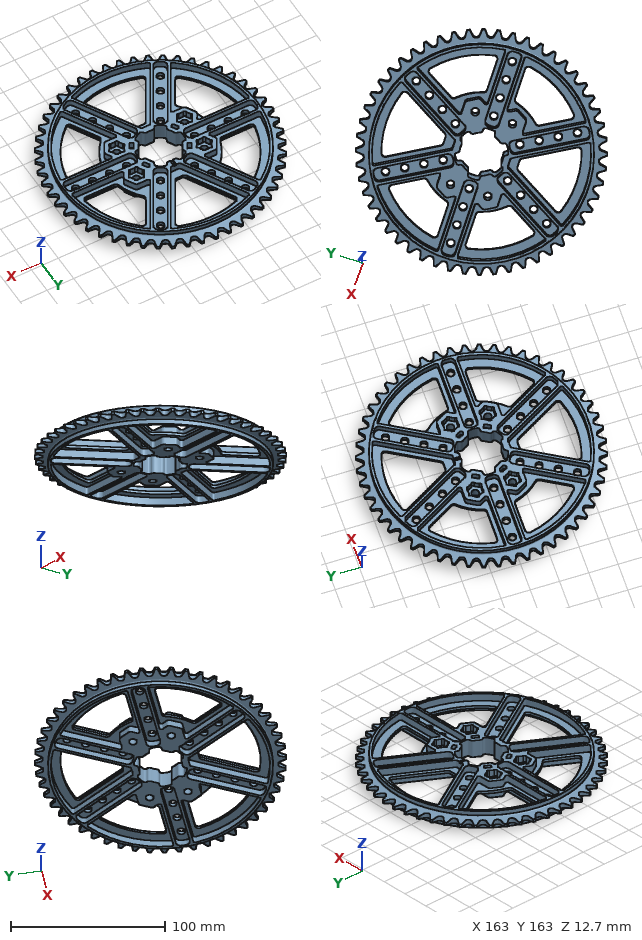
import cadquery as cq
import math

overall_width = 163.0
overall_height = 12.7

tooth_count = 52
roller_diameter = 5.0
roller_radius = roller_diameter / 2
seat_center_radius = 78.9
tip_width = 1.8
tip_thickness = 2.1
flange_root_thickness = 4.5
flange_fillet_radius = 1.0

gap_angle = math.radians(180 / tooth_count) - math.asin(tip_width / overall_width)
tip_radius = overall_width / 2 / math.cos(gap_angle)

rim_radius = 73.0
wall_thickness = 2.0
pocket_radius = rim_radius - wall_thickness
channel_width = 9.3
rib_offset = channel_width / 2 + wall_thickness
web_ledge = 3.0
web_thickness = 2.0
pocket_depth = (overall_height - web_thickness) / 2
pocket_corner = 1.3
spoke_step = 60

channel_start = 18.7
channel_end = 71.4
channel_corner = 3.3
channel_floor = 3.0
channel_depth = (overall_height - channel_floor) / 2
hole_pitch = 12.7
hole_diameter = 5.0
holes_per_spoke = 4
first_hole_radius = 2 * hole_pitch

window_radius = 64.9
window_corner = 2.5
plain_window_start = 25.3
boss_window_start = 39.8

hub_flat = 18.9
bore_radius = 14.3
groove_radius = 17.5
groove_width = 8.2
groove_corner = 1.6
bore_tooth_corner = 2.1

boss_x = 2 * hole_pitch
boss_y = hole_pitch
boss_across_flats = 16.3
boss_corner = 2.3
nut_across_flats = 9.6
nut_relief_radius = 1.0
nut_relief_inset = 0.8

recess_depth = 4.9

key_center_radius = 18.7
key_length = 4.9
key_width = 2.8
key_corner = 0.8
notch_width = 1.6
notch_depth = 0.8

top = overall_height / 2
bottom = -overall_height / 2

match_tolerance = 0.02


def polar(radius, degrees):
    angle = math.radians(degrees)
    return radius * math.cos(angle), radius * math.sin(angle)


def disc(radius, base=bottom, height=overall_height):
    return cq.Workplane("XY").workplane(offset=base).circle(radius).extrude(height)


def at_distance(edge, x, y, distance):
    """Whether an upright edge stands at the given distance from the point (x, y)."""
    center = edge.Center()
    return math.isclose(math.hypot(center.x - x, center.y - y), distance, abs_tol=match_tolerance)


def corner_radius(across_flats):
    """Distance from the centre of a hexagon to its corners."""
    return across_flats / 2 / math.cos(math.radians(30))


def hexagon(across_flats, base, height):
    """Hexagonal prism centred on the boss, with two corners on its X axis."""
    return (
        cq.Workplane("XY").workplane(offset=base)
        .center(boss_x, boss_y).polygon(6, 2 * corner_radius(across_flats)).extrude(height)
    )


def in_all_quadrants(shape):
    """Shape in the +X +Y quadrant together with its three mirror images."""
    right_half = shape.union(shape.mirror("XZ"))
    return right_half.union(right_half.mirror("YZ"))


def blank():
    """Revolved disc: a tall rim and a flange tapering towards the tooth tips."""
    section = (
        cq.Workplane("YZ")
        .moveTo(0, bottom).lineTo(rim_radius, bottom)
        .lineTo(rim_radius, -flange_root_thickness / 2)
        .lineTo(tip_radius, -tip_thickness / 2)
        .lineTo(tip_radius, tip_thickness / 2)
        .lineTo(rim_radius, flange_root_thickness / 2)
        .lineTo(rim_radius, top).lineTo(0, top).close()
    )
    inner_corner = cq.selectors.BoxSelector(
        (-rim_radius - 1.6, -rim_radius - 1.6, -flange_root_thickness),
        (rim_radius + 1.6, rim_radius + 1.6, flange_root_thickness),
        boundingbox=True,
    )
    solid = section.revolve(360, (0, 0, 0), (0, 1, 0))
    return solid.edges("%CIRCLE").edges(inner_corner).fillet(flange_fillet_radius)


def tooth_disc():
    """Disc with the tooth outline: roller seats joined to the tips by straight flanks."""
    tip_x = tip_radius * math.sin(gap_angle)
    tip_y = tip_radius * math.cos(gap_angle)
    rise = tip_y - seat_center_radius
    flank_angle = math.atan2(rise, tip_x) - math.acos(roller_radius / math.hypot(tip_x, rise))
    seat_x = roller_radius * math.cos(flank_angle)
    seat_y = seat_center_radius + roller_radius * math.sin(flank_angle)
    beyond_tip = tip_radius + 1.6

    gap = (
        cq.Workplane("XY").workplane(offset=bottom)
        .moveTo(-tip_x, beyond_tip).lineTo(-tip_x, tip_y).lineTo(-seat_x, seat_y)
        .threePointArc((0, seat_center_radius - roller_radius), (seat_x, seat_y))
        .lineTo(tip_x, tip_y).lineTo(tip_x, beyond_tip).close().extrude(overall_height)
    )
    gaps = [
        gap.rotate((0, 0, 0), (0, 0, 1), index * 360 / tooth_count).val()
        for index in range(tooth_count)
    ]
    return disc(tip_radius).cut(cq.Workplane(cq.Compound.makeCompound(gaps)))


def bay(bisector, offset, radius, base, height):
    """Wedge between two neighbouring spokes, held off their axes and bounded by a radius."""
    apex = polar(offset / math.sin(math.radians(spoke_step / 2)), bisector)
    reach = 2 * radius
    left = polar(reach, bisector + spoke_step / 2)
    right = polar(reach, bisector - spoke_step / 2)
    wedge = (
        cq.Workplane("XY", origin=(apex[0], apex[1], base))
        .polyline([(0, 0), right, left]).close().extrude(height)
    )
    return wedge.intersect(disc(radius, base, height))


def plain_bay(offset, radius, start, corner, base, height):
    """Bay facing +Y, squared off at the hub, with rounded corners."""
    hub_block = cq.Workplane("XY").box(2 * start, 2 * start, 2 * overall_height)
    return bay(90, offset, radius, base, height).cut(hub_block).edges("|Z").fillet(corner)


def boss_pocket(base):
    """Pocket in the +X +Y bay, kept clear of the nut boss."""
    boss_top = boss_y + boss_across_flats / 2
    boss = hexagon(boss_across_flats, base, pocket_depth)
    hub_block = (
        cq.Workplane("XY").workplane(offset=base)
        .rect(boss_x, boss_top, centered=False).extrude(pocket_depth)
    )
    pocket = bay(30, rib_offset, pocket_radius, base, pocket_depth)
    pocket = pocket.cut(boss).cut(hub_block)

    def on_boss_corner(edge):
        return at_distance(edge, boss_x, boss_y, corner_radius(boss_across_flats))

    pocket = pocket.edges("|Z").filter(lambda edge: not on_boss_corner(edge)).fillet(pocket_corner)
    return pocket.edges("|Z").filter(on_boss_corner).fillet(boss_corner)


def boss_window():
    """Window in the +X +Y bay, ending on an arc around the boss."""
    window = bay(30, rib_offset + web_ledge, window_radius, bottom, overall_height)
    return window.cut(disc(boss_window_start)).edges("|Z").fillet(window_corner)


def channel(base):
    """Sunken channel along the +X spoke."""
    length = channel_end - channel_start
    return (
        cq.Workplane("XY").workplane(offset=base)
        .center((channel_start + channel_end) / 2, 0)
        .rect(length, channel_width).extrude(channel_depth)
        .edges("|Z").fillet(channel_corner)
    )


def bore():
    """Hub bore with a groove facing every spoke, leaving rounded teeth between the grooves."""
    shape = disc(bore_radius)
    for angle in range(0, 180, spoke_step):
        groove = cq.Workplane("XY").box(3 * groove_radius, groove_width, overall_height)
        shape = shape.union(groove.rotate((0, 0, 0), (0, 0, 1), angle))
    shape = shape.intersect(disc(groove_radius))

    def on_tooth(edge):
        return at_distance(edge, 0, 0, bore_radius)

    def on_groove_floor(edge):
        return at_distance(edge, 0, 0, groove_radius)

    shape = shape.edges("|Z").filter(on_groove_floor).fillet(groove_corner)
    return shape.edges("|Z").filter(on_tooth).fillet(bore_tooth_corner)


def nut_recess():
    """Hexagonal recess with a small round relief in each corner."""
    base = top - recess_depth
    relief_distance = corner_radius(nut_across_flats) - nut_relief_inset
    reliefs = (
        cq.Workplane("XY").workplane(offset=base).center(boss_x, boss_y)
        .polarArray(relief_distance, 0, 360, 6).circle(nut_relief_radius).extrude(recess_depth)
    )
    return hexagon(nut_across_flats, base, recess_depth).union(reliefs)


def key_pocket():
    """Short blind slot lying across the line midway between two spokes."""
    return (
        cq.Workplane("XY").workplane(offset=top - recess_depth)
        .center(key_center_radius, 0).rect(key_width, key_length).extrude(recess_depth)
        .edges("|Z").fillet(key_corner)
        .rotate((0, 0, 0), (0, 0, 1), spoke_step / 2)
    )


result = blank().intersect(tooth_disc())

for base in (top - pocket_depth, bottom):
    plain_pocket = plain_bay(rib_offset, pocket_radius, hub_flat, pocket_corner, base, pocket_depth)
    result = result.cut(plain_pocket).cut(plain_pocket.mirror("XZ"))
    result = result.cut(in_all_quadrants(boss_pocket(base)))

plain_window = plain_bay(
    rib_offset + web_ledge, window_radius, plain_window_start, window_corner, bottom, overall_height
)
result = result.cut(plain_window).cut(plain_window.mirror("XZ"))
result = result.cut(in_all_quadrants(boss_window()))

hole_centers = [(first_hole_radius + index * hole_pitch, 0) for index in range(holes_per_spoke)]
spoke_holes = (
    cq.Workplane("XY").workplane(offset=bottom)
    .pushPoints(hole_centers).circle(hole_diameter / 2).extrude(overall_height)
)
spoke_cut = channel(top - channel_depth).union(channel(bottom)).union(spoke_holes)
for angle in range(0, 360, spoke_step):
    result = result.cut(spoke_cut.rotate((0, 0, 0), (0, 0, 1), angle))

boss_hole = (
    cq.Workplane("XY").workplane(offset=bottom)
    .center(boss_x, boss_y).circle(hole_diameter / 2).extrude(overall_height)
)
result = result.cut(in_all_quadrants(boss_hole.union(nut_recess())))

result = result.cut(bore())
result = result.cut(in_all_quadrants(key_pocket()))
notch = (
    cq.Workplane("XY").workplane(offset=top - notch_depth)
    .center(0, hub_flat / 2).rect(notch_width, hub_flat).extrude(notch_depth)
)
result = result.cut(notch)